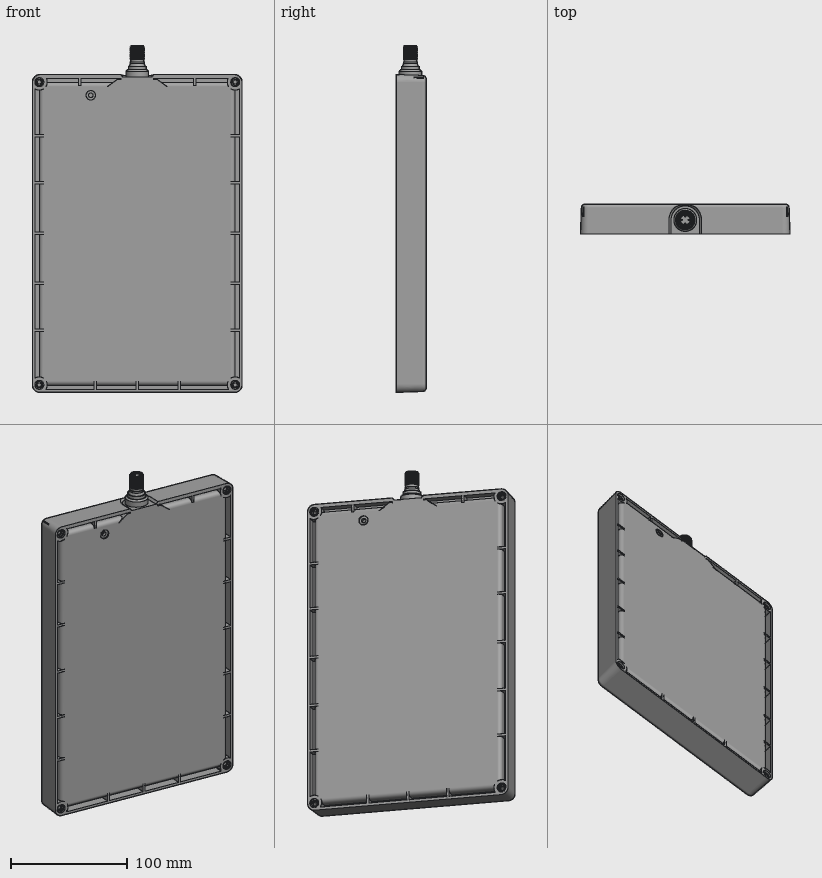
import cadquery as cq
import math

width = 180.0
depth = 26.0
overall_height = 297.5
height = 272.8
corner_radius = 6.5
side_draft = 2.0
back_edge_radius = 3.3

rim_wall = 2.5
top_rim_extra = 1.0
channel_width = 7.0
channel_depth = 9.0
panel_edge_radius = 3.5
channel_end = 12.0
rib_width = 2.0
side_rib_heights = (53.3, 93.7, 136.5, 180.0, 220.2)
top_rib_offsets = (-49.5, 49.5)
bottom_rib_offsets = (-36.0, 0, 36.0)
boss_radius = 6.8

tab_tip_half_width = 14.0
tab_neck_half_width = 17.0
tab_root_half_width = 25.5
tab_gap = 1.0

screw_inset_x = 6.0
screw_inset_z = 6.5
screw_steps = ((7.7, 1.8), (5.7, 3.5), (3.5, 12.0))
plug_x = -40.0
plug_z = 255.0
plug_steps = ((8.0, 1.2), (4.0, 4.5))

slit_width = 1.0
slit_length = 8.0
slit_depth = 0.5
slit_y = 19.3
corner_diagonal = 45

connector_y = 12.2
seat_radius = 14.0
seat_floor_radius = 12.2
seat_depth = 2.0
seat_overrun = 3.0
flange_radius = 9.8
flange_top = 277.0
flange_chamfer = 1.5
nut_radius = 7.7
nut_top = 279.7
cone_radius = 7.0
neck_radius = 6.1
neck_bottom = 282.0
groove_bottom = 283.5
thread_bottom = 285.5
relief_radius = 5.7
thread_pitch = 1.0
thread_depth = 0.5
thread_turns = 11
tip_radius = 5.5
socket_radius = 4.8
insert_radius = 4.2
insert_recess = 1.8
socket_depth = 4.5
pin_count = 4
pin_circle_radius = 3.0
pin_hole_diameter = 1.0

seat_floor = height - seat_depth

front_plane = cq.Plane(origin=(0, 0, height / 2), xDir=(1, 0, 0), normal=(0, 1, 0))


def make_housing():
    outline = cq.Sketch().rect(width, height).vertices().fillet(corner_radius)
    plate = cq.Workplane(front_plane).placeSketch(outline).extrude(depth, taper=side_draft)
    return plate.faces(">Y").edges().fillet(back_edge_radius)


def front_cylinder(x, z, diameter, length):
    return cq.Workplane("XZ", origin=(x, 0, z)).circle(diameter / 2).extrude(-length)


def stepped_hole(x, z, steps):
    """Hole cutter in the front face; steps are (diameter, depth) from the widest to the deepest."""
    hole = front_cylinder(x, z, *steps[0])
    for diameter, length in steps[1:]:
        hole = hole.union(front_cylinder(x, z, diameter, length))
    return hole


def bottom_channel(length):
    """Channel along the bottom side, with a rounded edge towards the panel."""
    floor_edge = rim_wall + channel_width - panel_edge_radius
    panel_edge = rim_wall + channel_width
    arc_inset = panel_edge_radius * math.sqrt(0.5)
    return (
        cq.Workplane("YZ", origin=(-length / 2, 0, 0))
        .moveTo(0, rim_wall)
        .lineTo(channel_depth, rim_wall)
        .lineTo(channel_depth, floor_edge)
        .lineTo(panel_edge_radius, floor_edge)
        .threePointArc((panel_edge_radius - arc_inset, panel_edge - arc_inset), (0, panel_edge))
        .close()
        .extrude(length)
    )


def turned(solid, angle, edge_distance):
    """Turn a bottom-side solid about the housing centre onto another side."""
    centred = solid.translate((0, 0, -edge_distance))
    return centred.rotate((0, 0, 0), (0, 1, 0), angle).translate((0, 0, height / 2))


def rib_block(x, z, size_x, size_z):
    return cq.Workplane("XY").box(size_x, 2 * channel_depth, size_z).translate((x, 0, z))


def panel_tab():
    channel_top = height - rim_wall - top_rim_extra
    panel_top = channel_top - channel_width
    shoulder = channel_top - tab_gap
    right = [
        (tab_root_half_width, panel_top),
        (tab_neck_half_width, shoulder),
        (tab_tip_half_width, shoulder),
        (tab_tip_half_width, height),
    ]
    left = [(-x, z) for x, z in reversed(right)]
    return cq.Workplane("XZ").polyline(right + left).close().extrude(-channel_depth)


def screw_centres():
    for x in (screw_inset_x - width / 2, width / 2 - screw_inset_x):
        for z in (screw_inset_z, height - screw_inset_z):
            yield x, z


def make_channels():
    short_channel = bottom_channel(width - 2 * channel_end)
    long_channel = bottom_channel(height - 2 * channel_end)
    bottom = turned(short_channel, 0, height / 2)
    top = turned(short_channel, 180, height / 2 - top_rim_extra)
    channels = bottom.union(top)
    for angle in (90, -90):
        channels = channels.union(turned(long_channel, angle, width / 2))

    rib_reach = 2 * (rim_wall + channel_width)
    for z in side_rib_heights:
        for x in (-width / 2, width / 2):
            channels = channels.cut(rib_block(x, z, rib_reach, rib_width))
    for offsets, z in ((top_rib_offsets, height), (bottom_rib_offsets, 0)):
        for x in offsets:
            channels = channels.cut(rib_block(x, z, rib_width, rib_reach))
    for x, z in screw_centres():
        channels = channels.cut(front_cylinder(x, z, 2 * boss_radius, channel_depth))
    return channels.cut(panel_tab())


def seat_outline(z, radius):
    """U-shaped outline around the connector, open towards the front."""
    return (
        cq.Workplane("XY", origin=(0, 0, z))
        .moveTo(-radius, -seat_overrun)
        .lineTo(-radius, connector_y)
        .threePointArc((0, connector_y + radius), (radius, connector_y))
        .lineTo(radius, -seat_overrun)
        .close()
    )


def make_seat():
    """Recess with sloped walls; its floor is parallel to the drafted top side."""
    lower = seat_outline(seat_floor, seat_floor_radius).wires().val()
    upper = seat_outline(height, seat_radius).wires().val()
    seat = cq.Workplane(cq.Solid.makeLoft([lower, upper], True))
    return seat.rotate((0, 0, height), (1, 0, height), -side_draft)


def make_slit(side):
    """Cutter at the top left (side -1) or top right (side 1) corner."""
    draft_inset = slit_y * math.tan(math.radians(side_draft))
    arc_inset = draft_inset + corner_radius * (1 - math.sqrt(0.5))
    slit = cq.Workplane("XY").box(slit_width, slit_length, 2 * slit_depth)
    slit = slit.rotate((0, 0, 0), (0, 1, 0), side * corner_diagonal)
    return slit.translate((side * (width / 2 - arc_inset), slit_y, height - arc_inset))


def make_connector():
    root = seat_floor - seat_depth
    profile = [
        (0, root),
        (flange_radius, root),
        (flange_radius, flange_top - flange_chamfer),
        (flange_radius - flange_chamfer, flange_top),
        (nut_radius, flange_top),
        (nut_radius, nut_top),
        (cone_radius, nut_top),
        (neck_radius, neck_bottom),
        (neck_radius, groove_bottom),
        (relief_radius, groove_bottom),
        (relief_radius, thread_bottom),
    ]
    for turn in range(thread_turns):
        start = thread_bottom + turn * thread_pitch
        profile.append((neck_radius, start + thread_pitch / 2))
        profile.append((neck_radius - thread_depth, start + thread_pitch))
    profile += [
        (tip_radius, overall_height),
        (0, overall_height),
    ]
    body = cq.Workplane("XZ").polyline(profile).close().revolve(360, (0, 0), (0, 1))
    end = cq.Workplane("XY", origin=(0, 0, overall_height))
    socket = end.circle(socket_radius).circle(insert_radius).extrude(-socket_depth)
    socket = socket.union(end.circle(socket_radius).extrude(-insert_recess))
    pins = end.polarArray(pin_circle_radius, 0, 360, pin_count)
    pins = pins.circle(pin_hole_diameter / 2).extrude(-socket_depth)
    return body.cut(socket).cut(pins).translate((0, connector_y, 0))


result = make_housing().cut(make_channels()).cut(make_seat())
for screw_x, screw_z in screw_centres():
    result = result.cut(stepped_hole(screw_x, screw_z, screw_steps))
result = result.cut(stepped_hole(plug_x, plug_z, plug_steps))
for slit_side in (-1, 1):
    result = result.cut(make_slit(slit_side))
result = result.union(make_connector())